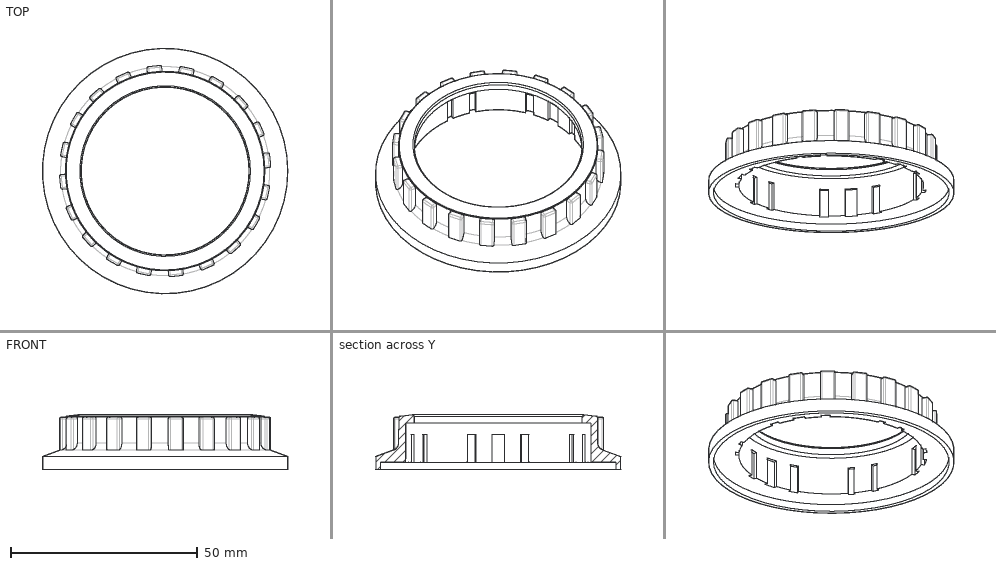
import cadquery as cq
import math

flange_radius = 32.9
flange_rim_height = 3.55
total_height = 14.8
shoulder_slope = 20.0

collar_radius = 26.7
collar_edge_height = 14.15
collar_edge_chamfer = 0.2
root_fillet = 2.0

lip_radius = 45.0 / 2
lip_chamfer_width = 0.4
lip_chamfer_depth = 0.5
lip_bottom = 12.5
bore_radius = 49.6 / 2
recess_radius = 63.2 / 2
recess_depth = 2.0

rib_count = 20
rib_first_angle = 6.0
rib_width = 3.95
rib_outer_radius = 28.3
rib_top = 14.1
rib_edge_fillet = 0.45
rib_embed = 0.65

slot_repeats = 3
slot_top = 9.5
slot_floor_radius = 25.7
trio_angle = 90.0
trio_spacing = 16.6
trio_middle_width = 3.3
trio_side_width = 2.4
pair_angle = 30.0
pair_spacing = 15.2
pair_width = 1.7
slot_group = [
    (trio_angle - trio_spacing, trio_side_width),
    (trio_angle, trio_middle_width),
    (trio_angle + trio_spacing, trio_side_width),
    (pair_angle - pair_spacing / 2, pair_width),
    (pair_angle + pair_spacing / 2, pair_width),
]


def cone_height(radius):
    """Height of the flange cone at a given radius."""
    return flange_rim_height + (flange_radius - radius) * math.tan(math.radians(shoulder_slope))


def ring_body():
    """Revolved body: flange, collar, lipped bore and underside recess."""
    slope = math.radians(shoulder_slope)
    fillet_center_r = collar_radius + root_fillet
    fillet_end_r = fillet_center_r - root_fillet * math.sin(slope)
    fillet_end_z = cone_height(fillet_end_r)
    fillet_center_z = fillet_end_z + root_fillet * math.cos(slope)
    center_angle = math.radians(180 + (90 - shoulder_slope) / 2)
    fillet_mid = (
        fillet_center_r + root_fillet * math.cos(center_angle),
        fillet_center_z + root_fillet * math.sin(center_angle),
    )
    profile = (
        cq.Workplane("XZ")
        .moveTo(recess_radius, 0)
        .lineTo(flange_radius, 0)
        .lineTo(flange_radius, flange_rim_height)
        .lineTo(fillet_end_r, fillet_end_z)
        .threePointArc(fillet_mid, (collar_radius, fillet_center_z))
        .lineTo(collar_radius, collar_edge_height)
        .lineTo(collar_radius - collar_edge_chamfer, collar_edge_height + collar_edge_chamfer)
        .lineTo(lip_radius + lip_chamfer_width, total_height)
        .lineTo(lip_radius, total_height - lip_chamfer_depth)
        .lineTo(lip_radius, lip_bottom)
        .lineTo(bore_radius, lip_bottom)
        .lineTo(bore_radius, recess_depth)
        .lineTo(recess_radius, recess_depth)
        .close()
    )
    return profile.revolve(360, (0, 0, 0), (0, 1, 0))


def grip_rib():
    """One rib on the +X side, rooted inside the collar wall and the flange."""
    root_radius = collar_radius - rib_embed
    base = flange_rim_height
    return (
        cq.Workplane("XY")
        .box(rib_outer_radius - root_radius, rib_width, rib_top - base, centered=(False, True, False))
        .translate((root_radius, 0, base))
        .edges("not (<X or <Z)")
        .fillet(rib_edge_fillet)
    )


def bore_slot(angle, width):
    """Cutter for one slot that opens into the bore."""
    return (
        cq.Workplane("XY")
        .box(slot_floor_radius - lip_radius, width, slot_top, centered=(False, True, False))
        .translate((lip_radius, 0, 0))
        .rotate((0, 0, 0), (0, 0, 1), angle)
    )


result = ring_body()
for i in range(rib_count):
    rib_angle = rib_first_angle + i * 360 / rib_count
    result = result.union(grip_rib().rotate((0, 0, 0), (0, 0, 1), rib_angle))

for i in range(slot_repeats):
    for angle, width in slot_group:
        result = result.cut(bore_slot(angle + i * 360 / slot_repeats, width))